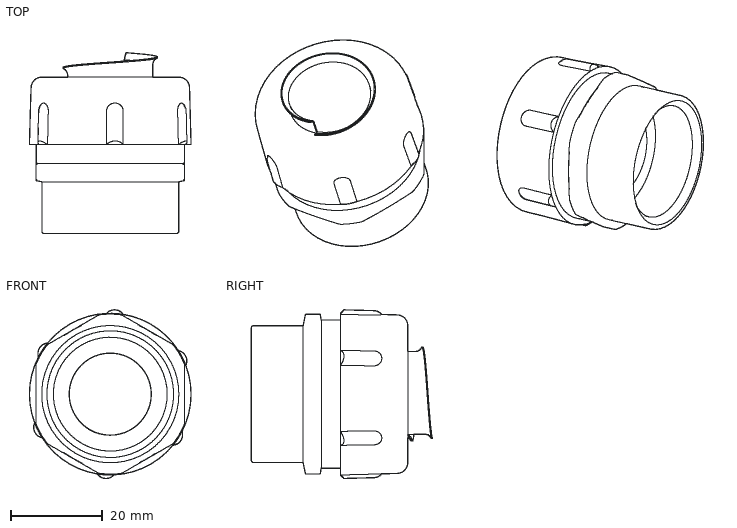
import cadquery as cq
import math


SPIGOT_D = 30.0
SPIGOT_EDGE = 0.55
MOUTH_D = 27.7
SOCKET_D = 24.9
MOUTH_DEPTH = 1.5
SOCKET_DEPTH = 11.1

HEX_START = 11.32
HEX_END = 15.35
HEX_FLATS = 32.5
HEX_CORNER_D = 35.0
HEX_CORNER_BLEND = 1.6
HEX_FRONT_BEVEL = 0.5
HEX_BACK_BEVEL = 0.25
HEX_BACK_FACE_D = 31.65
HEX_EDGE_ROUND = 0.25

COLLAR_D = 32.5

NUT_START = 19.47
NUT_END = 34.25
NUT_BASE_D = 35.4
NUT_TOP_D = 34.6
NUT_ROUND = 2.37

RIB_COUNT = 6
RIB_FIRST_ANGLE = 3.3
RIB_R = 2.3
RIB_PEAK_R = 18.5
RIB_END_CENTRE = 26.75
RIB_BEVEL = 0.8

BORE_D = 17.9
SLEEVE_D = 18.7
RIM_D = 20.6
RIM_EDGE = 0.25
FLARE_SAG = 0.28
INNER_FLARE_SAG = 0.35
FLARE_HEIGHT = 1.6
INNER_FLARE_HEIGHT = 2.37
BORE_ALLOWANCE = 0.2
RIM_TOP = 39.58
RIM_PITCH = 4.65
RIM_STEP_ANGLE = 70.0

NUT_DRAFT = (NUT_BASE_D - NUT_TOP_D) / 2 / (NUT_END - NUT_START)


def revolve(points):
    """Solid of revolution about Y from (radius, y) points."""
    return cq.Workplane("XY").polyline(points).close().revolve(360, (0, 0), (0, 1))


def cylinder(diameter, start, end):
    return revolve([(0, start), (diameter / 2, start), (diameter / 2, end), (0, end)])


def make_spigot():
    return cylinder(SPIGOT_D, 0, HEX_END).faces("<Y").edges().fillet(SPIGOT_EDGE)


def make_hexagon():
    across_corners = HEX_FLATS / math.cos(math.pi / 6)
    prism = (
        cq.Workplane("XZ", origin=(0, HEX_START, 0))
        .transformed(rotate=(0, 0, 30))
        .polygon(6, across_corners)
        .extrude(HEX_START - HEX_END)
    )
    rounded = prism.intersect(cylinder(HEX_CORNER_D, HEX_START, HEX_END))
    rounded = rounded.edges("|Y").fillet(HEX_CORNER_BLEND)
    corner_r = HEX_CORNER_D / 2
    bevels = revolve([
        (0, HEX_START),
        (SPIGOT_D / 2, HEX_START),
        (corner_r, HEX_START + HEX_FRONT_BEVEL),
        (corner_r, HEX_END - HEX_BACK_BEVEL),
        (HEX_BACK_FACE_D / 2, HEX_END),
        (0, HEX_END),
    ])
    bevelled = rounded.intersect(bevels)
    outline = bevelled.faces("%CONE").edges("not (%LINE or <Y or >Y)")
    return outline.fillet(HEX_EDGE_ROUND)


def make_nut():
    blank = revolve([
        (0, NUT_START),
        (NUT_BASE_D / 2, NUT_START),
        (NUT_TOP_D / 2, NUT_END),
        (0, NUT_END),
    ])
    return blank.faces(">Y").edges().fillet(NUT_ROUND)


def make_ribs():
    """Round-ended ribs following the nut taper, bevelled at the open end."""
    base_centre_r = RIB_PEAK_R - RIB_R + NUT_DRAFT * RIB_BEVEL
    length = RIB_END_CENTRE - NUT_START
    end_centre_r = base_centre_r - NUT_DRAFT * length
    base = cq.Vector(0, NUT_START, base_centre_r)
    end = cq.Vector(0, RIB_END_CENTRE, end_centre_r)
    axis = end - base
    bar = cq.Solid.makeCylinder(RIB_R, 2 * axis.Length, base - axis, axis)
    rib = cq.Workplane(bar).union(cq.Workplane("XY", origin=end.toTuple()).sphere(RIB_R))
    outer_r = RIB_PEAK_R + RIB_BEVEL
    rib = rib.intersect(revolve([
        (0, NUT_START),
        (RIB_PEAK_R - RIB_BEVEL, NUT_START),
        (outer_r, NUT_START + 2 * RIB_BEVEL),
        (outer_r, NUT_END),
        (0, NUT_END),
    ]))
    ribs = cq.Workplane()
    for i in range(RIB_COUNT):
        angle = RIB_FIRST_ANGLE + i * 360 / RIB_COUNT
        ribs = ribs.add(rib.rotate((0, 0, 0), (0, 1, 0), angle))
    return ribs.combine()


def make_half_turn(start_angle, start_height):
    """Half a turn of sleeve wall whose flared rim climbs half a pitch, about local Z."""
    inner_r = BORE_D / 2 - BORE_ALLOWANCE
    sleeve_r = SLEEVE_D / 2
    rim_r = RIM_D / 2
    flare_start = -FLARE_HEIGHT
    inner_flare_start = -INNER_FLARE_HEIGHT
    foot = -RIM_PITCH - FLARE_HEIGHT
    wall = (
        cq.Workplane("XZ")
        .moveTo(inner_r, foot)
        .lineTo(sleeve_r, foot)
        .lineTo(sleeve_r, flare_start)
        .threePointArc((sleeve_r + FLARE_SAG, flare_start / 2), (rim_r, -RIM_EDGE))
        .lineTo(rim_r, 0)
        .lineTo(rim_r - RIM_EDGE, 0)
        .threePointArc((inner_r + INNER_FLARE_SAG, inner_flare_start / 2), (inner_r, inner_flare_start))
        .close()
    )
    path = cq.Wire.makeHelix(RIM_PITCH, RIM_PITCH / 2, inner_r)
    half = wall.sweep(cq.Workplane(path), isFrenet=True)
    return half.rotate((0, 0, 0), (0, 0, 1), start_angle).translate((0, 0, start_height))


def make_rim():
    low = RIM_TOP - RIM_PITCH
    lower_half = make_half_turn(RIM_STEP_ANGLE, low)
    upper_half = make_half_turn(RIM_STEP_ANGLE + 180, low + RIM_PITCH / 2)
    rim = lower_half.union(upper_half, clean=False)
    return rim.rotate((0, 0, 0), (1, 0, 0), -90)


def make_bore():
    """Threaded-end socket with a tapered mouth, and the through bore through the sleeve."""
    return revolve([
        (0, 0),
        (MOUTH_D / 2, 0),
        (SOCKET_D / 2, MOUTH_DEPTH),
        (SOCKET_D / 2, SOCKET_DEPTH),
        (BORE_D / 2, SOCKET_DEPTH),
        (BORE_D / 2, RIM_TOP),
        (0, RIM_TOP),
    ])


result = (
    make_spigot()
    .union(make_hexagon())
    .union(cylinder(COLLAR_D, HEX_END, NUT_START))
    .union(make_nut())
    .union(make_ribs())
    .union(make_rim(), clean=False)
    .cut(make_bore(), clean=False)
)